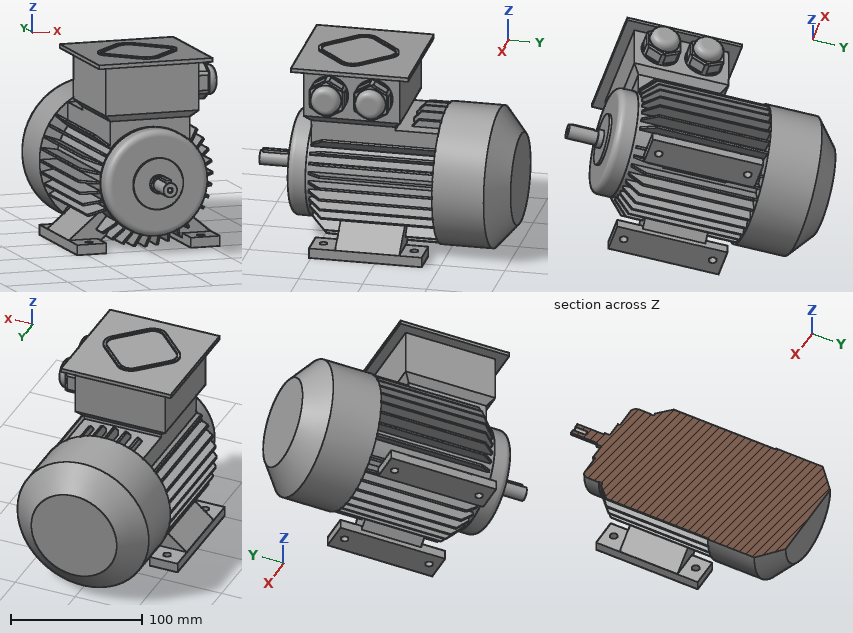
import cadquery as cq
import math


shaft_dia = 11.0
shoulder_dia = 14.0
register_dia = 40.0
shaft_length = 23.0
register_y = 27.2
centre_hole_dia = 3.2
centre_hole_mouth_dia = 4.3
centre_hole_depth = 10.2
key_width = 4.0
key_length = 20.3
key_setback = 1.5
key_top_z = 7.1

shield_dia = 83.0
shield_y = 29.0
shield_back_y = 43.8
shield_round = 5.0
core_dia = 82.0
frame_front_y = 46.7
cover_dia = 110.0
cover_front_y = 145.8
cover_taper_y = 186.2
cover_back_dia = 71.5
overall_length = 203.0

fin_root_radius = 30.5
fin_tip_radius = 54.0
fin_thickness = 1.6
fin_pitch = 10
fin_chamfer = 10.5
top_fin_spacing = 10.2
top_fin_front_y = 122.0
top_fin_chamfer = 6.0

shaft_height = 56.0
feet_span = 115.0
foot_width = 23.3
foot_height = 8.0
foot_length = 88.1
foot_hole_dia = 5.9
foot_hole_x = 45.0
foot_hole_pitch = 71.0
foot_hole_offset = 36.0
leg_front_y = 70.6
leg_length = 50.1
leg_thickness = 17.7
leg_angle = math.radians(40)
leg_root = 30.5

neck_width = 64.1
neck_length = 65.4
saddle_top_z = 44.3
neck_top_z = 46.9
box_side = 75.3
box_bottom_z = 52.4
lid_side = 91.5
lid_bottom_z = 90.7
lid_thickness = 3.0

border_side = 50.5
border_corner = 11.2
border_width = 2.2
border_height = 1.2
border_y = 76.5

gland_dia = 29.5
gland_flats = 27.0
gland_z = 71.9
gland_pitch = 34.7
gland_collar = 1.6
gland_hex_length = 9.7
gland_hex_chamfer = 0.91
gland_taper_length = 1.8
gland_cap_dia = 23.3
gland_cap_round = 5.0
gland_cap_end = 18.9

foot_outer_x = feet_span / 2
foot_bottom_z = -shaft_height
foot_top_z = foot_bottom_z + foot_height
foot_centre_x = foot_outer_x - foot_width / 2
foot_centre_y = shaft_length + foot_hole_offset + foot_hole_pitch / 2
box_centre_y = frame_front_y + neck_length / 2
lid_top_z = lid_bottom_z + lid_thickness


def box_between(x0, x1, y0, y1, z0, z1):
    """Box spanning the given limits."""
    return cq.Workplane("XY").box(x1 - x0, y1 - y0, z1 - z0, centered=False).translate((x0, y0, z0))


def turned_body():
    """Shaft, end shield, frame core and fan cover as one turned profile."""
    shield_radius = shield_dia / 2
    round_offset = shield_round * math.sqrt(0.5)
    round_mid = (
        shield_radius - shield_round + round_offset,
        shield_y + shield_round - round_offset,
    )
    return (
        cq.Workplane("XY")
        .lineTo(shaft_dia / 2, 0)
        .lineTo(shaft_dia / 2, shaft_length)
        .lineTo(shoulder_dia / 2, shaft_length)
        .lineTo(shoulder_dia / 2, register_y)
        .lineTo(register_dia / 2, register_y)
        .lineTo(register_dia / 2, shield_y)
        .lineTo(shield_radius - shield_round, shield_y)
        .threePointArc(round_mid, (shield_radius, shield_y + shield_round))
        .lineTo(shield_radius, shield_back_y)
        .lineTo(core_dia / 2, shield_back_y)
        .lineTo(core_dia / 2, cover_front_y)
        .lineTo(cover_dia / 2, cover_front_y)
        .lineTo(cover_dia / 2, cover_taper_y)
        .lineTo(cover_back_dia / 2, overall_length)
        .lineTo(0, overall_length)
        .close()
        .revolve(360, (0, 0, 0), (0, 1, 0))
    )


def centre_hole():
    """Countersunk centre hole in the shaft tip, ending in a drill point."""
    hole_radius = centre_hole_dia / 2
    mouth_radius = centre_hole_mouth_dia / 2
    return (
        cq.Workplane("XY")
        .lineTo(mouth_radius, 0)
        .lineTo(hole_radius, mouth_radius - hole_radius)
        .lineTo(hole_radius, centre_hole_depth)
        .lineTo(0, centre_hole_depth + hole_radius)
        .close()
        .revolve(360, (0, 0, 0), (0, 1, 0))
    )


def shaft_key():
    """Round-ended key standing out of the top of the shaft."""
    return (
        cq.Workplane("XY")
        .center(0, key_setback + key_length / 2)
        .slot2D(key_length, key_width, 90)
        .extrude(key_top_z)
    )


def fin_outline(root, front_y, chamfer):
    """Lengthwise outline of a fin along +X with a chamfered front corner."""
    return (
        cq.Workplane("XY")
        .moveTo(root, front_y)
        .lineTo(fin_tip_radius - chamfer, front_y)
        .lineTo(fin_tip_radius, front_y + chamfer)
        .lineTo(fin_tip_radius, cover_front_y)
        .lineTo(root, cover_front_y)
        .close()
    )


def side_and_bottom_fins():
    """Radial fins along the whole frame; angles in degrees from +X towards +Z."""
    outline = fin_outline(fin_root_radius, frame_front_y, fin_chamfer)
    plate = outline.extrude(fin_thickness / 2, both=True)
    right_side = [step * fin_pitch for step in range(-3, 5)]
    left_side = [180 - angle for angle in right_side]
    bottom = [-90 + step * fin_pitch for step in range(-4, 5)]
    return [plate.rotate((0, 0, 0), (0, 1, 0), -angle) for angle in right_side + left_side + bottom]


def top_fins():
    """Short upright fins behind the terminal box, trimmed to the round fin envelope."""
    envelope = fin_outline(0, top_fin_front_y, top_fin_chamfer).revolve(360, (0, 0, 0), (0, 1, 0))
    fins = []
    for step in range(-2, 3):
        x = step * top_fin_spacing
        plate = box_between(
            x - fin_thickness / 2,
            x + fin_thickness / 2,
            top_fin_front_y,
            cover_front_y,
            fin_root_radius,
            fin_tip_radius,
        )
        fins.append(plate.intersect(envelope))
    return fins


def right_foot():
    """Foot pad on the +X side with its sloping leg and two bolt holes."""
    pad_inner_x = foot_outer_x - foot_width
    pad = (
        cq.Workplane("XY", origin=(foot_centre_x, foot_centre_y, foot_bottom_z))
        .rect(foot_width, foot_length)
        .extrude(foot_height)
    )
    slope = math.tan(leg_angle)
    lower_drop = leg_thickness / math.cos(leg_angle)
    leg_outer_x = -foot_top_z / slope
    lower_end_z = -pad_inner_x * slope - lower_drop
    root_x = leg_root * math.cos(leg_angle)
    root_z = -leg_root * math.sin(leg_angle)
    lower_root_x = root_x - leg_thickness * math.sin(leg_angle)
    lower_root_z = root_z - leg_thickness * math.cos(leg_angle)
    leg = (
        cq.Workplane("XZ", origin=(0, leg_front_y + leg_length, 0))
        .moveTo(root_x, root_z)
        .lineTo(leg_outer_x, foot_top_z)
        .lineTo(leg_outer_x, lower_end_z)
        .lineTo(pad_inner_x, lower_end_z)
        .lineTo(lower_root_x, lower_root_z)
        .close()
        .extrude(leg_length)
    )
    holes = (
        cq.Workplane("XY", origin=(foot_hole_x, foot_centre_y, foot_bottom_z))
        .rarray(2, foot_hole_pitch, 1, 2)
        .circle(foot_hole_dia / 2)
        .extrude(foot_height)
    )
    return pad.union(leg).cut(holes)


def terminal_box():
    """Saddle on the frame, flared neck, square box and overhanging lid."""
    half_neck = neck_width / 2
    neck_back_y = frame_front_y + neck_length
    saddle = box_between(-half_neck, half_neck, frame_front_y, cover_front_y, 0, saddle_top_z)
    neck = box_between(-half_neck, half_neck, frame_front_y, neck_back_y, 0, neck_top_z)
    flare = (
        cq.Workplane("XY", origin=(0, box_centre_y, neck_top_z))
        .rect(neck_width, neck_length)
        .workplane(offset=box_bottom_z - neck_top_z)
        .rect(box_side, box_side)
        .loft()
    )
    box = (
        cq.Workplane("XY", origin=(0, box_centre_y, box_bottom_z))
        .rect(box_side, box_side)
        .extrude(lid_bottom_z - box_bottom_z)
    )
    lid = (
        cq.Workplane("XY", origin=(0, box_centre_y, lid_bottom_z))
        .rect(lid_side, lid_side)
        .extrude(lid_thickness)
    )
    return saddle.union(neck).union(flare).union(box).union(lid)


def rounded_square(side, corner):
    """Square plate of the border height with rounded corners."""
    return cq.Workplane("XY").rect(side, side).extrude(border_height).edges("|Z").fillet(corner)


def lid_border():
    """Raised diamond-shaped border with rounded corners."""
    outer = rounded_square(border_side, border_corner)
    inner = rounded_square(border_side - 2 * border_width, border_corner - border_width)
    return outer.cut(inner).rotate((0, 0, 0), (0, 0, 1), 45).translate((0, border_y, lid_top_z))


def cable_gland(y):
    """Collar, hexagon with rounded corners and tapered end, and domed cap, pointing along +X."""
    origin = (box_side / 2, y, gland_z)
    hex_dia = gland_flats / math.cos(math.pi / 6)
    end_hex_dia = (gland_flats - 2 * gland_hex_chamfer) / math.cos(math.pi / 6)
    hex_end = gland_hex_length + gland_taper_length
    cap = (
        cq.Workplane("YZ", origin=origin)
        .circle(gland_cap_dia / 2)
        .extrude(gland_cap_end)
        .faces(">X")
        .edges()
        .fillet(gland_cap_round)
    )
    collar = cq.Workplane("YZ", origin=origin).circle(gland_dia / 2).extrude(gland_collar)
    hexagon = cq.Workplane("YZ").polygon(6, hex_dia).extrude(gland_hex_length)
    taper = (
        cq.Workplane("YZ", origin=(gland_hex_length, 0, 0))
        .polygon(6, hex_dia)
        .workplane(offset=gland_taper_length)
        .polygon(6, end_hex_dia)
        .loft()
    )
    corner_cylinder = cq.Workplane("YZ").circle(gland_dia / 2).extrude(hex_end)
    nut = hexagon.union(taper).intersect(corner_cylinder)
    nut = nut.rotate((0, 0, 0), (1, 0, 0), 90).translate(origin)
    return collar.union(nut).union(cap)


motor = turned_body().union(shaft_key()).cut(centre_hole())
for one_fin in side_and_bottom_fins() + top_fins():
    motor = motor.union(one_fin)

foot = right_foot()
motor = motor.union(foot).union(foot.mirror("YZ"))

motor = motor.union(terminal_box()).union(lid_border())
for side in (-1, 1):
    motor = motor.union(cable_gland(box_centre_y + side * gland_pitch / 2))

result = motor